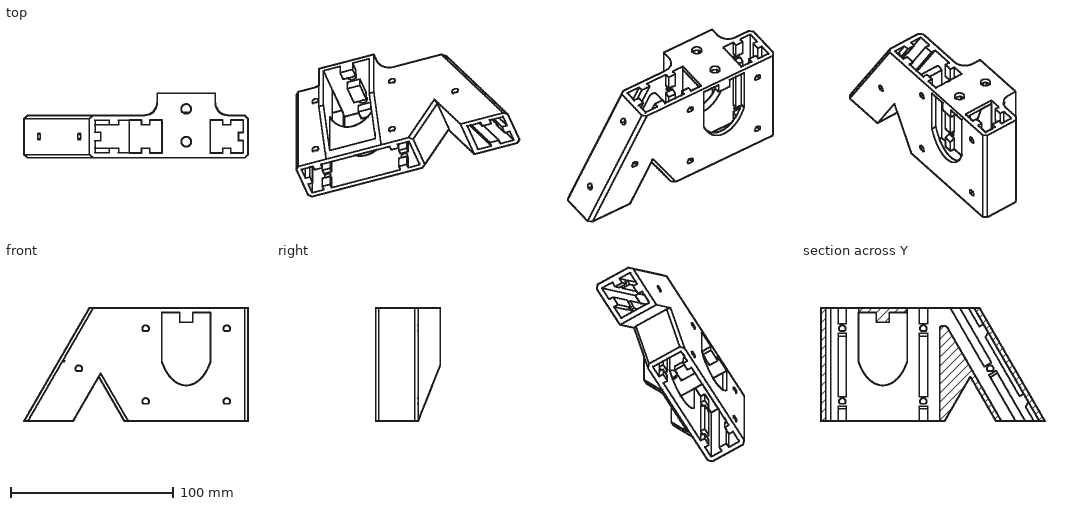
import cadquery as cq
import math

length = 138.2
height = 70.0
depth = 40.0

wall = 3.0
socket = 20.2
body_depth = socket + 2 * wall
mid_y = body_depth / 2
edge_chamfer = 2.1

leg_angle = 60.0
leg_sin = math.sin(math.radians(leg_angle))
leg_run = 1 / math.tan(math.radians(leg_angle))
leg_base = body_depth / leg_sin
leg_wall_base = wall / leg_sin

post_spacing = 50.0
end_post_x = length - wall - socket / 2
mid_post_x = end_post_x - post_spacing
mid_post_left = mid_post_x - socket / 2
end_post_right = length - wall
bay_width = post_spacing - socket
bay_x = (mid_post_x + end_post_x) / 2
web_tip_radius = 3.0
web_tip_trim = 0.7

rib_width = 5.1
rib_depth = 2.9
rib_gap_half = 2.9
rib_gap_ramp = 1.7

screw_dia = 4.0
screw_flat = 1.4
post_screw_heights = (12.2, 57.1)
leg_face_screws = (18.2, 67.9)
leg_cross_screw_height = 32.3
leg_cross_screw = leg_cross_screw_height / leg_sin + mid_y * leg_run
bolt_dia = 6.0
bolt_ys = (10.0, 30.1)

bracket_width = 36.0
bracket_straight_z = 34.5
corner_radius = 8.0
bay_back = 28.2
tongue_width = 8.2
tongue_depth = 6.0
tongue_gap_half = 4.0
plate_bottom = height - wall

window_half_width = 16.9
window_half_height = 27.2
window_bottom = 22.1

overlap = 1.4


def box(x0, x1, y0, y1, z0, z1):
    return cq.Workplane("XY").box(x1 - x0, y1 - y0, z1 - z0, centered=False).translate((x0, y0, z0))


def side_prism(points, y0, y1):
    """Extrude an outline given in X and Z from y0 to y1."""
    return cq.Workplane("XZ", origin=(0, y0, 0)).polyline(points).close().extrude(y0 - y1)


def lean(solid):
    """Turn a solid built upright at the origin to follow the leg."""
    return solid.rotate((0, 0, 0), (0, 1, 0), 90 - leg_angle)


def make_shell():
    notch_right = mid_post_left - wall
    notch_z = (notch_right - leg_base) / (2 * leg_run)
    outline = [
        (0, 0),
        (leg_base, 0),
        (leg_base + notch_z * leg_run, notch_z),
        (notch_right, 0),
        (length, 0),
        (length, height),
        (height * leg_run, height),
    ]
    chamfered_faces = (
        (height * leg_run / 2, height / 2),
        (notch_right - notch_z * leg_run / 2, notch_z / 2),
        (length, height / 2),
    )
    shell = side_prism(outline, 0, body_depth)
    for x, z in chamfered_faces:
        for y in (0, body_depth):
            shell = shell.edges(cq.selectors.NearestToPointSelector((x, y, z))).chamfer(edge_chamfer)
    return shell


def corner_fill(side):
    """Concave corner beside the bracket, its radius shrinking to nothing at the base."""
    corner_x = bay_x + side * bracket_width / 2

    def section(z):
        radius = corner_radius * z / height
        bend = radius * (1 - math.sqrt(0.5))
        return (
            cq.Workplane("XY", origin=(corner_x, body_depth, z))
            .moveTo(-side * overlap, -overlap)
            .lineTo(-side * overlap, radius)
            .lineTo(0, radius)
            .threePointArc((side * bend, bend), (side * radius, 0))
            .lineTo(side * radius, -overlap)
            .close()
            .val()
        )

    return cq.Workplane(cq.Solid.makeLoft([section(overlap), section(height)], True))


def make_bracket():
    bracket = box(bay_x - bracket_width / 2, bay_x + bracket_width / 2, mid_y, depth, 0, height)
    for side in (-1, 1):
        bracket = bracket.union(corner_fill(side))
    slope_profile = (
        cq.Workplane("YZ")
        .polyline([
            (mid_y, 0), (body_depth, 0), (depth, bracket_straight_z), (depth, height), (mid_y, height),
        ])
        .close()
        .extrude(length)
    )
    return bracket.intersect(slope_profile)


def make_cavity():
    """Leg socket and the hollow joining both posts.

    The web between them has a round tip, trimmed flush with the socket wall.
    """
    leg_left = leg_wall_base
    leg_right = leg_base - leg_wall_base
    leg_socket = [
        (leg_left, 0),
        (leg_right, 0),
        (leg_right + height * leg_run, height),
        (leg_left + height * leg_run, height),
    ]
    tip_x = mid_post_left + web_tip_trim
    tip_z = (tip_x - leg_right) / leg_run
    leg_void = side_prism(leg_socket, wall, body_depth - wall)
    post_void = box(tip_x, end_post_right, wall, body_depth - wall, 0, height)
    cavity = leg_void.union(post_void)
    tip = cq.selectors.NearestToPointSelector((tip_x, mid_y, tip_z))
    cavity = cavity.edges(tip).fillet(web_tip_radius)
    post_trim = box(mid_post_left, mid_post_x, wall, body_depth - wall, 0, height)
    cavity = cavity.union(post_trim)
    plate = box(bay_x - bay_width / 2, bay_x + bay_width / 2, 0, depth, plate_bottom, height)
    return cavity.cut(plate)


def make_window():
    """Opening through front and back, and the space between the bracket arms."""
    left = bay_x - bay_width / 2
    right = bay_x + bay_width / 2
    center_z = window_bottom + window_half_height
    rounded = (
        cq.Workplane("XZ", origin=(bay_x, 0, center_z))
        .ellipse(window_half_width, window_half_height)
        .extrude(-depth)
        .intersect(box(left, right, 0, depth, 0, center_z))
    )
    upper = box(left, right, 0, depth, center_z, plate_bottom)
    rear = box(left, right, bay_back, depth, 0, plate_bottom)
    return rounded.union(upper).union(rear)


def make_rib(run, gaps):
    """Upright rib standing on the plane y = 0 and projecting toward +Y, centered on x = 0."""
    root = -overlap / 2
    rib = box(-rib_width / 2, rib_width / 2, root, rib_depth, -run, run)
    for gap in gaps:
        profile = [
            (0, gap - rib_gap_half),
            (rib_depth, gap - rib_gap_half - rib_gap_ramp),
            (rib_depth, gap + rib_gap_half),
            (0, gap + rib_gap_half),
        ]
        opening = cq.Workplane("YZ").polyline(profile).close().extrude(rib_width, both=True)
        rib = rib.cut(opening)
    return rib


def place_rib(rib, turn, x, y):
    return rib.rotate((0, 0, 0), (0, 0, 1), turn).translate((x, y, 0))


def make_ribs():
    run = 2 * height
    post_rib = make_rib(run, post_screw_heights)
    ribs = place_rib(make_rib(run, ()), 90, end_post_right, mid_y)
    for x in (mid_post_x, end_post_x):
        ribs = ribs.union(place_rib(post_rib, 0, x, wall))
        ribs = ribs.union(place_rib(post_rib, 180, x, body_depth - wall))
    cross_rib = make_rib(run, (leg_cross_screw,))
    face_rib = make_rib(run, leg_face_screws)
    leg_ribs = place_rib(cross_rib, 0, mid_y, wall)
    leg_ribs = leg_ribs.union(place_rib(cross_rib, 180, mid_y, body_depth - wall))
    leg_ribs = leg_ribs.union(place_rib(face_rib, -90, wall, mid_y))
    ribs = ribs.union(lean(leg_ribs))
    return ribs.intersect(box(0, length, 0, body_depth, 0, height))


def make_tongue():
    """Rib hanging below the top plate from front to back, interrupted around each bolt."""
    left = bay_x - tongue_width / 2
    right = bay_x + tongue_width / 2
    tongue = box(left, right, 0, depth, plate_bottom - tongue_depth, height)
    for y in bolt_ys:
        gap = box(left, right, y - tongue_gap_half, y + tongue_gap_half, 0, plate_bottom)
        tongue = tongue.cut(gap)
    return tongue


def screw_hole(plane, reach):
    """Round hole with a flat floor, its axis through the origin of the workplane."""
    radius = screw_dia / 2
    half_flat = math.sqrt(radius**2 - screw_flat**2)
    return (
        cq.Workplane(plane)
        .moveTo(-half_flat, -screw_flat)
        .threePointArc((0, radius), (half_flat, -screw_flat))
        .close()
        .extrude(reach)
    )


def make_holes():
    cross_hole = screw_hole("XZ", -depth)
    leg_axis_x = leg_base / 2 + leg_cross_screw_height * leg_run
    holes = cross_hole.translate((leg_axis_x, 0, leg_cross_screw_height))
    for x in (mid_post_x, end_post_x):
        for z in post_screw_heights:
            holes = holes.union(cross_hole.translate((x, 0, z)))
    face_hole = screw_hole("YZ", mid_y)
    for along in leg_face_screws:
        holes = holes.union(lean(face_hole.translate((0, mid_y, along))))
    for y in bolt_ys:
        bolt = cq.Workplane("XY", origin=(bay_x, y, height / 2)).circle(bolt_dia / 2).extrude(height / 2)
        holes = holes.union(bolt)
    return holes


body = make_shell().union(make_bracket())
body = body.cut(make_cavity()).cut(make_window())
result = body.union(make_ribs()).union(make_tongue()).cut(make_holes())